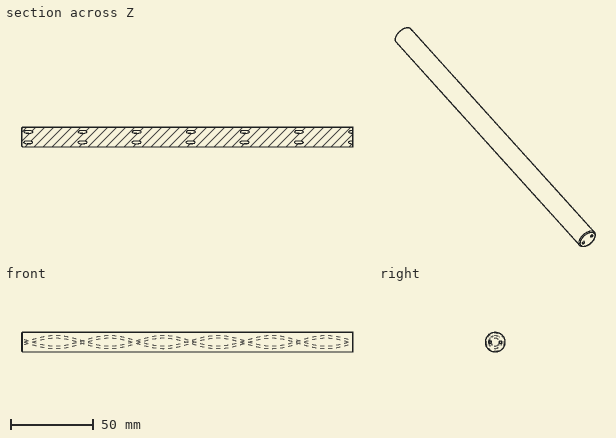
import cadquery as cq
import math

length = 200.0
diameter = 12.0
chamfer = 0.5
hole_diameter = 1.5
hole_circle_diameter = 6.5
helix_angle = 30.0

pitch = math.pi * diameter / math.tan(math.radians(helix_angle))
twist = 360 * length / pitch
start_angle = -twist


def make_rod():
    """Plain cylinder with one chamfered end."""
    rod = cq.Workplane("YZ").circle(diameter / 2).extrude(length)
    return rod.faces("<X").chamfer(chamfer)


def make_holes():
    """Two opposite holes twisting right-handed around the rod axis."""
    return (
        cq.Workplane("YZ")
        .polarArray(hole_circle_diameter / 2, start_angle, 360, 2)
        .circle(hole_diameter / 2)
        .twistExtrude(length, twist)
    )


result = make_rod().cut(make_holes())